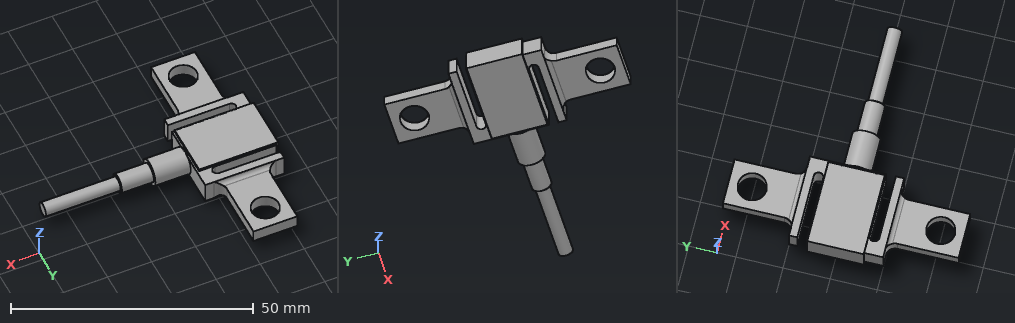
import cadquery as cq


block_length = 18.0
block_width = 20.0
block_height = 5.0

slot_width = 2.0
slot_center_y = 7.2
slot_tip_x = 6.0

overall_width = 50.0
tab_width = 10.0
tab_thickness = 3.0
tab_hole_diameter = 6.0
tab_hole_spacing = 40.0
tab_side_fillet = 2.0
tab_face_fillet = 1.0

cover_thickness = 0.5
cover_width = 12.0
cover_length = 18.0

gland_diameter = 6.0
gland_length = 8.0
sleeve_diameter = 4.32
sleeve_length = 7.3
sleeve_chamfer = 0.1
cable_diameter = 3.2
cable_end_x = 41.2

block_end_x = block_length / 2
block_face_y = block_width / 2
tab_tip_y = overall_width / 2
gland_end_x = block_end_x + gland_length
sleeve_end_x = gland_end_x + sleeve_length


def flared_profile(plane, tip_width, fillet, depth):
    """Prism of a tab outline along +Y that flares into the block face with concave fillets.

    The first axis of the plane runs across the tab and the second along Y.
    """
    half_tip = tip_width / 2
    half_root = half_tip + fillet
    fillet_end_y = block_face_y + fillet
    return (
        cq.Workplane(plane)
        .moveTo(-half_root, 0)
        .lineTo(-half_root, block_face_y)
        .radiusArc((-half_tip, fillet_end_y), -fillet)
        .lineTo(-half_tip, tab_tip_y)
        .lineTo(half_tip, tab_tip_y)
        .lineTo(half_tip, fillet_end_y)
        .radiusArc((half_root, block_face_y), -fillet)
        .lineTo(half_root, 0)
        .close()
        .extrude(depth / 2, both=True)
    )


def make_tab():
    """Mounting tab on the +Y side with its hole, flared in plan and in thickness at its root."""
    plan = flared_profile(cq.Plane.XY(), tab_width, tab_side_fillet, block_height)
    side_plane = cq.Plane(origin=(0, 0, 0), xDir=(0, 0, 1), normal=(-1, 0, 0))
    side = flared_profile(side_plane, tab_thickness, tab_face_fillet, block_length)
    hole = (
        cq.Workplane("XY")
        .center(0, tab_hole_spacing / 2)
        .circle(tab_hole_diameter / 2)
        .extrude(block_height, both=True)
    )
    return plan.intersect(side).cut(hole)


def make_slot():
    """Cutter for the +Y slot: open at the -X end, rounded at its +X tip."""
    tip_radius = slot_width / 2
    straight_end_x = slot_tip_x - tip_radius
    straight_length = straight_end_x + block_end_x
    straight = (
        cq.Workplane("XY")
        .box(straight_length, slot_width, block_height)
        .translate((straight_end_x - straight_length / 2, slot_center_y, 0))
    )
    tip = (
        cq.Workplane("XY")
        .center(straight_end_x, slot_center_y)
        .circle(tip_radius)
        .extrude(block_height / 2, both=True)
    )
    return straight.union(tip)


def make_flexure():
    """Block with a tab and a slot at each Y end, the second pair turned half a turn about Z."""
    flexure = cq.Workplane("XY").box(block_length, block_width, block_height)
    tab = make_tab()
    slot = make_slot()
    for angle in (0, 180):
        flexure = flexure.union(tab.rotate((0, 0, 0), (0, 0, 1), angle))
        flexure = flexure.cut(slot.rotate((0, 0, 0), (0, 0, 1), angle))
    return flexure


def make_cover():
    """U-shaped cover, open towards +X where the block reaches past it."""
    outer_height = block_height + 2 * cover_thickness
    center_x = cover_length / 2 - block_end_x - cover_thickness
    outer = (
        cq.Workplane("XY")
        .box(cover_length, cover_width, outer_height)
        .translate((center_x, 0, 0))
    )
    block_space = cq.Workplane("XY").box(block_length, cover_width, block_height)
    return outer.cut(block_space)


def make_cylinder(start_x, end_x, diameter):
    """Solid cylinder on the X axis."""
    return (
        cq.Workplane("YZ", origin=(start_x, 0, 0))
        .circle(diameter / 2)
        .extrude(end_x - start_x)
    )


def make_sleeve():
    """Strain-relief sleeve, slightly chamfered at its cable end."""
    sleeve = make_cylinder(gland_end_x, sleeve_end_x, sleeve_diameter)
    return sleeve.faces(">X").chamfer(sleeve_chamfer)


flexure = make_flexure()
cover = make_cover()
gland = make_cylinder(block_end_x, gland_end_x, gland_diameter)
sleeve = make_sleeve()
cable = make_cylinder(sleeve_end_x, cable_end_x, cable_diameter)

result = cq.Compound.makeCompound(
    [flexure.val(), cover.val(), gland.val(), sleeve.val(), cable.val()]
)